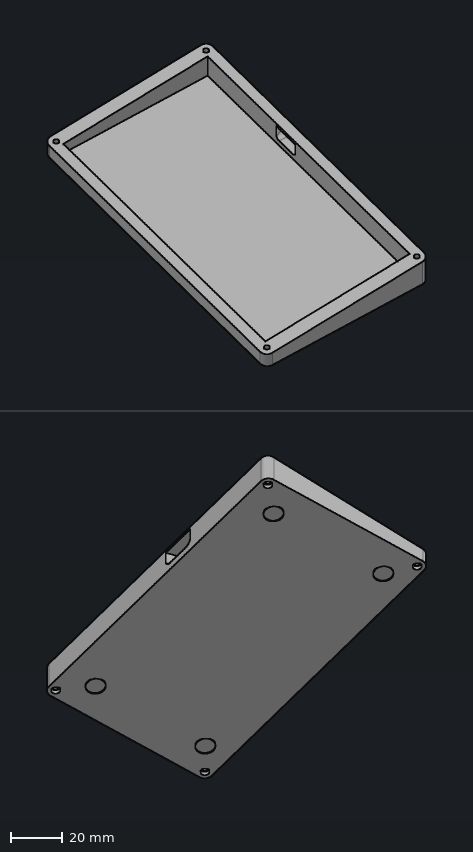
import cadquery as cq
import math

LENGTH = 140.5
WIDTH = 81.8
REAR_HEIGHT = 14.23
SLOPE_ANGLE = 4.8
CORNER_RADIUS = 3.5

POCKET_LENGTH = 128.0
POCKET_WIDTH = 72.0
FLOOR_THICKNESS = 2.0

SCREW_INSET = 3.5
SCREW_DIAMETER = 2.3
HEAD_DIAMETER = 3.5
HEAD_DEPTH = 2.0

FOOT_DIAMETER = 8.0
FOOT_DEPTH = 0.5
FOOT_SPACING_X = 112.0
FOOT_FRONT_Y = -29.0
FOOT_REAR_Y = 26.0

PORT_X = -14.5
PORT_TOP_GAP = 1.6
PORT_INNER_WIDTH = 11.8
PORT_INNER_HEIGHT = 7.3
PORT_INNER_RADIUS = 1.5
PORT_OUTER_WIDTH = 15.4
PORT_OUTER_HEIGHT = 8.6
PORT_OUTER_RADIUS = 3.0

SLOPE = math.tan(math.radians(SLOPE_ANGLE))
REAR_Y = WIDTH / 2
FRONT_Y = -REAR_Y


def underside_z(y):
    """Height of the sloping underside at depth y; its rear edge is at z = 0."""
    return (REAR_Y - y) * SLOPE


def wedge_above(offset, length, y_front, y_rear):
    """Solid between the rim and a plane lying `offset` (vertically) above the underside."""
    profile = [
        (y_front, REAR_HEIGHT),
        (y_rear, REAR_HEIGHT),
        (y_rear, underside_z(y_rear) + offset),
        (y_front, underside_z(y_front) + offset),
    ]
    return cq.Workplane("YZ").polyline(profile).close().extrude(length / 2, both=True)


def make_body():
    wedge = wedge_above(0, LENGTH, FRONT_Y, REAR_Y)
    return wedge.edges("|Z").fillet(CORNER_RADIUS)


def make_pocket():
    return wedge_above(FLOOR_THICKNESS, POCKET_LENGTH, -POCKET_WIDTH / 2, POCKET_WIDTH / 2)


def underside_bore(x, y, diameter, depth):
    """Cylinder centred on the underside at (x, y), sunk square to the slope by `depth`."""
    bore = cq.Workplane("XY").circle(diameter / 2).extrude(2 * depth).translate((0, 0, -depth))
    return bore.rotate((0, 0, 0), (1, 0, 0), -SLOPE_ANGLE).translate((x, y, underside_z(y)))


def port_outline(width, height, radius, offset):
    """Outline with its top edge at local height 0 and rounded lower corners, `offset` along the normal."""
    outline = cq.Sketch().rect(width, height).vertices("<Y").fillet(radius)
    return outline.moved(cq.Location(cq.Vector(0, -height / 2, offset)))


def make_port():
    """Flared opening, lofted from the rear face to the pocket wall."""
    wall_thickness = (WIDTH - POCKET_WIDTH) / 2
    outer = port_outline(PORT_OUTER_WIDTH, PORT_OUTER_HEIGHT, PORT_OUTER_RADIUS, 0)
    inner = port_outline(PORT_INNER_WIDTH, PORT_INNER_HEIGHT, PORT_INNER_RADIUS, wall_thickness)
    rear_plane = cq.Workplane("XZ", origin=(PORT_X, REAR_Y, REAR_HEIGHT - PORT_TOP_GAP))
    return rear_plane.placeSketch(outer, inner).loft(ruled=True)


def make_screw_holes():
    x_inset = LENGTH / 2 - SCREW_INSET
    y_inset = WIDTH / 2 - SCREW_INSET
    points = [(x, y) for x in (-x_inset, x_inset) for y in (-y_inset, y_inset)]
    holes = cq.Workplane("XY").pushPoints(points).circle(SCREW_DIAMETER / 2).extrude(REAR_HEIGHT)
    for x, y in points:
        holes = holes.union(underside_bore(x, y, HEAD_DIAMETER, HEAD_DEPTH))
    return holes


def make_foot_recesses():
    recesses = cq.Workplane("XY")
    for x in (-FOOT_SPACING_X / 2, FOOT_SPACING_X / 2):
        for y in (FOOT_FRONT_Y, FOOT_REAR_Y):
            recesses = recesses.add(underside_bore(x, y, FOOT_DIAMETER, FOOT_DEPTH))
    return recesses.combine()


result = (
    make_body()
    .cut(make_pocket())
    .cut(make_port())
    .cut(make_screw_holes())
    .cut(make_foot_recesses())
)